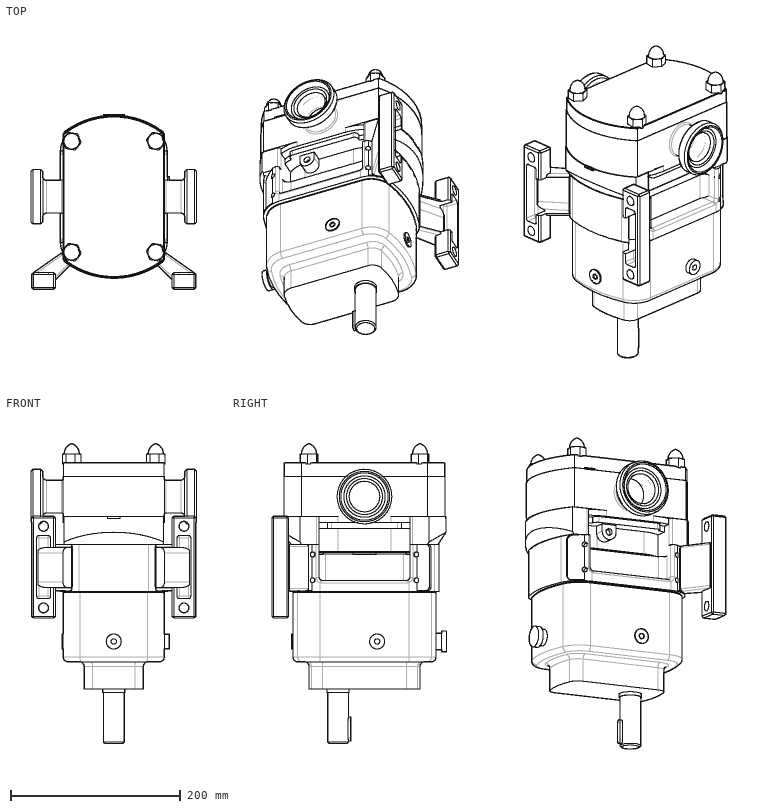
import cadquery as cq
import math


NECK_BOTTOM = 64.0
GEAR_BOTTOM = 96.5
FRAME_BOTTOM = 178.5
WINDOW_BOTTOM = 193.0
BLOCK_TOP = 223.7
SEAL_BOTTOM = 225.5
SHOULDER = 235.5
PLATE_BOTTOM = 254.0
PILOT_BOTTOM = 261.0
CASING_BOTTOM = 268.0
COVER_BOTTOM = 315.5
COVER_TOP = 332.0
TOP = 354.5

HEAD_RADIUS = 95.5
HEAD_HALF_WIDTH = 119.5 / 2
UPPER_FRAME_RADIUS = 96.5
UPPER_FRAME_HALF_WIDTH = 59.0
SHAFT_OFFSET = 31.2
COVER_EDGE = 0.7
COVER_INSET = 0.5

FRAME_SLOT = (14.2, 2.5)
COVER_SLOT = (13.5, 1.8)
COVER_SLOT_Y = 53.5
SLOT_DEPTH = 2.0

GEAR_HALF_X = HEAD_HALF_WIDTH
GEAR_HALF_Y = 84.7
GEAR_BOW = 141.8
GEAR_CORNER = 27.5
GEAR_EDGE = 5.5
FRAME_LIP = 3.5
NECK_HALF_X = 35.0
NECK_HALF_Y = 65.5
NECK_BOW = 106.5
NECK_CORNER = 13.0
NECK_FLARE = 5.3
JOINT_GROOVE = 1.0

TAPER_START_Y = 87.2
TAPER_ANGLE = 33.0

WINDOW_HALF_Y = 53.5
WINDOW_CORNER = 3.5
WINDOW_EDGE = 3.2
PLATE_HALF_X = 55.0
PLATE_HALF_Y = 44.0
PLATE_CORNER = 5.0
PLATE_BACK_RADIUS = 49.5
SEAL_RADIUS = 35.5
SEAL_EDGE = 1.5
BLOCK_HALF_X = 43.3
BLOCK_CORNER = 7.5
LUG_RADIUS = 9.2
LUG_HOLE_RADIUS = 4.0
LUG_HOLE_DEPTH = 5.3
LUG_Y = 22.7
LUG_Z = 245.0
LUG_HEIGHT = 14.2

PAD_DISTANCE = 87.5
PAD_BOTTOM = 180.8
PAD_WIDTH = 42.5
PAD_CORNER = 6.5
PAD_HOLE_RADIUS = 3.0
PAD_HOLE_DEPTH = 7.0
PAD_HOLE_LEVELS = (193.0, 223.5)

FOOT_OUTER_X = 97.0
FOOT_WIDTH = 28.5
FOOT_FRONT_Y = -109.5
FOOT_DEPTH = 20.0
FOOT_BOTTOM = 148.2
FOOT_TOP = 268.7
FOOT_EDGE = 2.0
FOOT_HOLE_RADIUS = 5.5
FOOT_HOLE_INSET = 12.0
FOOT_POCKET_WIDTH = 16.3
FOOT_POCKET_HEIGHT = 74.5
FOOT_POCKET_DEPTH = 16.3
FOOT_POCKET_CORNER = 3.0
ARM_BOTTOM = 180.5
ARM_TOP = 235.5
ARM_WALL = 4.0
ARM_TIP_Y = -98.5
ARM_INNER_BEND_X = 69.0
ARM_INNER_ROOT = (49.5, -79.0)
ARM_BURIED_ROOT = (46.0, -71.0)
ARM_OUTER_ROOT = (61.7, -66.3)
ARM_OUTER_TIP = (93.5, -88.5)
WEB_TIP = (89.5, -92.2)
WEB_ROOT = (60.0, -69.0)
FLANGE_END_X = 44.5
CHANNEL_CORNER = 6.5
ARM_EDGE = 2.5

PORT_Z = 291.8
PORT_REACH = 196.0 / 2
PORT_TUBE_RADIUS = 19.5
PORT_BORE_RADIUS = 18.0
PORT_MOUTH_RADIUS = 21.3
PORT_MOUTH_DEPTH = 9.2
PORT_FACE_RADIUS = 28.0
PORT_FACE_INNER_RADIUS = 24.5
PORT_FACE_DEPTH = 6.5
PORT_FLANGE_RADIUS = 32.3
PORT_FLANGE_THICKNESS = 14.2
PORT_FLANGE_EDGE = 2.5
PORT_BACK_FILLET = 4.5
PORT_ROOT_FILLET = 1.8

NUT_X = 49.5
NUT_Y = 65.5
NUT_CORNER_DIAMETER = 22.5
NUT_ANGLE = -9.0
NUT_HEIGHT = 10.0
DOME_RADIUS = 9.2
DOME_SHOULDER = (6.7, 7.8)

PLUG_Z = 120.5
PLUG_RADIUS = 9.0
PLUG_HEIGHT = 1.5
PLUG_SOCKET_RADIUS = 3.2
SIDE_PLUG_Y = -15.0
TALL_PLUG_HEIGHT = 6.0
SIGHT_STEM_RADIUS = 10.0
SIGHT_RIM_RADIUS = 12.5
SIGHT_REACH = 97.0
SIGHT_RIM_THICKNESS = 6.0

SHAFT_RADIUS = 12.5
SHAFT_EDGE = 1.8
COLLAR_RADIUS = 13.0
COLLAR_BOTTOM = 60.3
JOURNAL_RADIUS = 17.7
JOURNAL_BOTTOM = 198.5
JOURNAL_TOP = 248.2
KEY_BOTTOM = 3.0
KEY_LENGTH = 28.7
KEY_WIDTH = 7.0
KEY_REACH = 15.2

SELECT_MARGIN = 0.5
OVERLAP = 1.8


def cylinder(radius, bottom, top, y=0.0):
    return cq.Workplane("XY", origin=(0, y, bottom)).circle(radius).extrude(top - bottom)


def block(half_x, half_y, bottom, top):
    sketch = cq.Workplane("XY", origin=(0, 0, bottom)).rect(2 * half_x, 2 * half_y)
    return sketch.extrude(top - bottom)


def flat_sided_disc(radius, half_width, bottom, top):
    """Round disc with two flats parallel to the YZ plane."""
    return cylinder(radius, bottom, top).intersect(block(half_width, radius, bottom, top))


def bowed_block(half_x, half_y, bow, corner, bottom, top):
    """Block with flat X sides, bowed Y ends and rounded vertical corners."""
    corner_y = half_y - bow + math.sqrt(bow**2 - half_x**2)
    outline = (
        cq.Workplane("XY", origin=(0, 0, bottom))
        .moveTo(-half_x, -corner_y)
        .threePointArc((0, -half_y), (half_x, -corner_y))
        .lineTo(half_x, corner_y)
        .threePointArc((0, half_y), (-half_x, corner_y))
        .close()
    )
    return outline.extrude(top - bottom).edges("|Z").fillet(corner)


def stadium(radius, bottom, top):
    """Slot shape that surrounds both shafts."""
    sketch = cq.Workplane("XY", origin=(0, 0, bottom))
    return sketch.slot2D(2 * (SHAFT_OFFSET + radius), 2 * radius, 90).extrude(top - bottom)


def both_sides(shape):
    """The shape together with its mirror image on the other X side."""
    return shape.union(shape.mirror("YZ"))


def make_head():
    casing = flat_sided_disc(HEAD_RADIUS, HEAD_HALF_WIDTH, CASING_BOTTOM, COVER_BOTTOM)
    cover = flat_sided_disc(
        HEAD_RADIUS - COVER_INSET, HEAD_HALF_WIDTH - COVER_INSET, COVER_BOTTOM, COVER_TOP
    )
    cover = cover.faces(">Z").edges().chamfer(COVER_EDGE)
    width, height = COVER_SLOT
    slot = cq.Workplane("XY").box(2 * SLOT_DEPTH, width, height, centered=(True, True, False))
    slot = slot.translate((-HEAD_HALF_WIDTH, COVER_SLOT_Y, COVER_BOTTOM))
    return casing.union(cover.cut(slot))


def make_nut(x, y):
    hexagon = cq.Workplane("XY").polygon(6, NUT_CORNER_DIAMETER).extrude(NUT_HEIGHT + OVERLAP)
    hexagon = hexagon.rotate((0, 0, 0), (0, 0, 1), NUT_ANGLE).translate((0, 0, -OVERLAP))
    dome_height = TOP - COVER_TOP - NUT_HEIGHT
    shoulder_radius, shoulder_height = DOME_SHOULDER
    dome = (
        cq.Workplane("XZ", origin=(0, 0, NUT_HEIGHT))
        .lineTo(DOME_RADIUS, 0)
        .spline([(shoulder_radius, shoulder_height), (0, dome_height)], includeCurrent=True)
        .close()
        .revolve(360, (0, 0, 0), (0, 1, 0))
    )
    return hexagon.union(dome).translate((x, y, COVER_TOP))


def make_port():
    """Port on the -X side: tube and flange, bored down to the casing wall."""
    flange_back = PORT_REACH - PORT_FLANGE_THICKNESS
    fillet_radius = PORT_TUBE_RADIUS + PORT_BACK_FILLET
    fillet_middle = PORT_BACK_FILLET * (1 - math.sqrt(0.5))
    root_radius = PORT_TUBE_RADIUS + PORT_ROOT_FILLET
    root_middle = PORT_ROOT_FILLET * (1 - math.sqrt(0.5))
    profile = (
        cq.Workplane("XY")
        .moveTo(-HEAD_HALF_WIDTH + OVERLAP, 0)
        .lineTo(-HEAD_HALF_WIDTH + OVERLAP, root_radius)
        .lineTo(-HEAD_HALF_WIDTH, root_radius)
        .threePointArc(
            (-HEAD_HALF_WIDTH - root_middle, PORT_TUBE_RADIUS + root_middle),
            (-HEAD_HALF_WIDTH - PORT_ROOT_FILLET, PORT_TUBE_RADIUS),
        )
        .lineTo(-flange_back + PORT_BACK_FILLET, PORT_TUBE_RADIUS)
        .threePointArc(
            (-flange_back + fillet_middle, PORT_TUBE_RADIUS + fillet_middle),
            (-flange_back, fillet_radius),
        )
        .lineTo(-flange_back, PORT_FLANGE_RADIUS)
        .lineTo(-PORT_REACH, PORT_FLANGE_RADIUS)
        .lineTo(-PORT_REACH, PORT_FACE_RADIUS)
        .lineTo(-PORT_REACH + PORT_FACE_DEPTH, PORT_FACE_INNER_RADIUS)
        .lineTo(-PORT_REACH + PORT_FACE_DEPTH, PORT_MOUTH_RADIUS)
        .lineTo(-PORT_REACH + PORT_MOUTH_DEPTH, PORT_BORE_RADIUS)
        .lineTo(-HEAD_HALF_WIDTH, PORT_BORE_RADIUS)
        .lineTo(-HEAD_HALF_WIDTH, 0)
        .close()
    )
    port = profile.revolve(360, (0, 0, 0), (1, 0, 0))
    rim = cq.selectors.RadiusNthSelector(-1)
    return port.edges(rim).chamfer(PORT_FLANGE_EDGE).translate((0, 0, PORT_Z))


def make_taper_cone():
    """Cone, widening upward, whose -Y flank bounds the -Y end of the upper frame."""
    base = cq.Workplane("XY", origin=(0, GEAR_BOW - TAPER_START_Y, SHOULDER)).circle(GEAR_BOW)
    return base.extrude(CASING_BOTTOM - SHOULDER, taper=-TAPER_ANGLE)


def make_pad_cutter():
    """Cutter for the 45 degree pad on the +X +Y corner, with its two screw holes."""
    height = SHOULDER - PAD_BOTTOM
    cutter = cq.Workplane("XY").box(PAD_WIDTH / 2, PAD_WIDTH, height, centered=(False, True, False))
    cutter = cutter.edges("|X").fillet(PAD_CORNER)
    cutter = cutter.translate((PAD_DISTANCE, 0, PAD_BOTTOM))
    for level in PAD_HOLE_LEVELS:
        hole = cq.Workplane("YZ", origin=(PAD_DISTANCE - PAD_HOLE_DEPTH, 0, level))
        cutter = cutter.union(hole.circle(PAD_HOLE_RADIUS).extrude(2 * PAD_HOLE_DEPTH))
    return cutter.rotate((0, 0, 0), (0, 0, 1), 45)


def round_window_edge(frame_part, side_x):
    """Round the rim of the window where it opens in the faces X = +-side_x."""
    for x in (-side_x, side_x):
        rim = cq.selectors.BoxSelector(
            (x - SELECT_MARGIN, -WINDOW_HALF_Y - SELECT_MARGIN, WINDOW_BOTTOM - SELECT_MARGIN),
            (x + SELECT_MARGIN, WINDOW_HALF_Y + SELECT_MARGIN, CASING_BOTTOM + SELECT_MARGIN),
        )
        frame_part = frame_part.edges(rim).fillet(WINDOW_EDGE)
    return frame_part


def make_corner_web(x, y):
    """Concave web between the bearing block and the window side at one corner."""
    size = BLOCK_CORNER
    height = BLOCK_TOP - WINDOW_BOTTOM
    x_step = math.copysign(size, x)
    y_step = math.copysign(size, y)
    middle = 1 - math.sqrt(0.5)
    web = (
        cq.Workplane("XY", origin=(x, y, WINDOW_BOTTOM))
        .lineTo(x_step, 0)
        .threePointArc((x_step * middle, -y_step * middle), (0, -y_step))
        .close()
    )
    return web.extrude(height)


def make_frame():
    upper = flat_sided_disc(UPPER_FRAME_RADIUS, UPPER_FRAME_HALF_WIDTH, SHOULDER, CASING_BOTTOM)
    cone = make_taper_cone()
    upper = upper.intersect(cone).intersect(cone.mirror("XZ"))
    width, height = FRAME_SLOT
    slot = cq.Workplane("XY").box(width, 2 * SLOT_DEPTH, height)
    upper = upper.cut(slot.translate((0, -UPPER_FRAME_RADIUS, CASING_BOTTOM - height / 2)))

    lower = bowed_block(
        GEAR_HALF_X + FRAME_LIP,
        GEAR_HALF_Y + FRAME_LIP,
        GEAR_BOW + FRAME_LIP,
        GEAR_CORNER + FRAME_LIP,
        FRAME_BOTTOM + JOINT_GROOVE,
        SHOULDER,
    )
    pad = both_sides(make_pad_cutter())
    lower = lower.cut(pad).cut(pad.mirror("XZ"))

    window = block(HEAD_RADIUS, WINDOW_HALF_Y, WINDOW_BOTTOM, CASING_BOTTOM)
    window = window.edges("|X and <Z").fillet(WINDOW_CORNER)
    upper = round_window_edge(upper.cut(window), UPPER_FRAME_HALF_WIDTH)
    lower = round_window_edge(lower.cut(window), GEAR_HALF_X + FRAME_LIP)

    bearing_block = block(BLOCK_HALF_X, WINDOW_HALF_Y, WINDOW_BOTTOM, BLOCK_TOP)
    lower = lower.union(bearing_block)
    for x in (-BLOCK_HALF_X, BLOCK_HALF_X):
        for y in (-WINDOW_HALF_Y, WINDOW_HALF_Y):
            lower = lower.union(make_corner_web(x, y))
    return upper.union(lower)


def make_window_parts():
    pilot = stadium(HEAD_HALF_WIDTH, PILOT_BOTTOM, CASING_BOTTOM)
    plate = block(PLATE_HALF_X, PLATE_HALF_Y, PLATE_BOTTOM, PILOT_BOTTOM)
    plate = plate.edges("|Z").fillet(PLATE_CORNER)
    plate = plate.union(stadium(PLATE_BACK_RADIUS, PLATE_BOTTOM, PILOT_BOTTOM))
    seal = stadium(SEAL_RADIUS, SEAL_BOTTOM, PLATE_BOTTOM)
    seal = seal.faces("<Z").edges().chamfer(SEAL_EDGE)

    lug_face = cq.Workplane("YZ", origin=(-SEAL_RADIUS - LUG_HEIGHT, LUG_Y, LUG_Z))
    lug = lug_face.circle(LUG_RADIUS).extrude(LUG_HEIGHT + OVERLAP)
    web_height = PLATE_BOTTOM - LUG_Z
    web = lug_face.center(0, web_height / 2).rect(2 * LUG_RADIUS, web_height)
    lug = lug.union(web.extrude(LUG_HEIGHT + OVERLAP))
    lug = lug.cut(lug_face.circle(LUG_HOLE_RADIUS).extrude(LUG_HOLE_DEPTH))
    return pilot.union(plate).union(seal).union(lug)


def make_gear_cover():
    cover = bowed_block(GEAR_HALF_X, GEAR_HALF_Y, GEAR_BOW, GEAR_CORNER, GEAR_BOTTOM, FRAME_BOTTOM)
    cover = cover.faces("<Z").edges().fillet(GEAR_EDGE)
    joint = bowed_block(
        GEAR_HALF_X - JOINT_GROOVE,
        GEAR_HALF_Y - JOINT_GROOVE,
        GEAR_BOW - JOINT_GROOVE,
        GEAR_CORNER - JOINT_GROOVE,
        FRAME_BOTTOM - OVERLAP,
        FRAME_BOTTOM + JOINT_GROOVE,
    )
    neck = bowed_block(NECK_HALF_X, NECK_HALF_Y, NECK_BOW, NECK_CORNER, NECK_BOTTOM, GEAR_BOTTOM)
    body = cover.union(neck)
    flare_zone = cq.selectors.BoxSelector(
        (-NECK_HALF_X - OVERLAP, -NECK_HALF_Y - OVERLAP, GEAR_BOTTOM - OVERLAP),
        (NECK_HALF_X + OVERLAP, NECK_HALF_Y + OVERLAP, GEAR_BOTTOM + OVERLAP),
        boundingbox=True,
    )
    return body.edges(flare_zone).fillet(NECK_FLARE).union(joint)


def make_plug(height):
    """Plug with a round socket, standing on the XY plane and pointing up."""
    plug = cq.Workplane("XY", origin=(0, 0, -OVERLAP)).circle(PLUG_RADIUS).extrude(height + OVERLAP)
    return plug.faces(">Z").workplane().circle(PLUG_SOCKET_RADIUS).cutBlind(-height)


def make_fittings():
    """Drain plugs on three sides of the gear cover and the sight glass on the fourth."""
    x_axis = (1, 0, 0)
    y_axis = (0, 1, 0)
    front = make_plug(PLUG_HEIGHT).rotate((0, 0, 0), x_axis, 90)
    front = front.translate((0, -GEAR_HALF_Y, PLUG_Z))
    left = make_plug(PLUG_HEIGHT).rotate((0, 0, 0), y_axis, -90)
    left = left.translate((-GEAR_HALF_X, SIDE_PLUG_Y, PLUG_Z))
    right = make_plug(TALL_PLUG_HEIGHT).rotate((0, 0, 0), y_axis, 90)
    right = right.translate((GEAR_HALF_X, -SIDE_PLUG_Y, PLUG_Z))

    stem_start = GEAR_HALF_Y - OVERLAP
    stem = cq.Workplane("XZ", origin=(0, stem_start, PLUG_Z)).circle(SIGHT_STEM_RADIUS)
    stem = stem.extrude(stem_start - SIGHT_REACH)
    rim = cq.Workplane("XZ", origin=(0, SIGHT_REACH, PLUG_Z)).circle(SIGHT_RIM_RADIUS)
    rim = rim.extrude(SIGHT_RIM_THICKNESS)
    return front.union(left).union(right).union(stem).union(rim)


def make_foot():
    """Foot on the +X side: slotted mounting bar joined to its pad by a slanted arm."""
    centre_x = FOOT_OUTER_X - FOOT_WIDTH / 2
    centre_z = (FOOT_BOTTOM + FOOT_TOP) / 2
    height = FOOT_TOP - FOOT_BOTTOM
    face = cq.Workplane("XZ", origin=(centre_x, FOOT_FRONT_Y, centre_z))
    bar = face.rect(FOOT_WIDTH, height).extrude(-FOOT_DEPTH).edges().chamfer(FOOT_EDGE)

    pocket = face.rect(FOOT_POCKET_WIDTH, FOOT_POCKET_HEIGHT).extrude(-FOOT_POCKET_DEPTH)
    pocket = pocket.edges("|Y").fillet(FOOT_POCKET_CORNER)
    pocket = pocket.faces(">Y").edges().fillet(FOOT_POCKET_CORNER)
    bar = bar.cut(pocket)
    hole_offset = height / 2 - FOOT_HOLE_INSET
    holes = face.pushPoints([(0, -hole_offset), (0, hole_offset)]).circle(FOOT_HOLE_RADIUS)
    bar = bar.cut(holes.extrude(-FOOT_DEPTH))

    arm = (
        cq.Workplane("XY", origin=(0, 0, ARM_BOTTOM))
        .moveTo(*ARM_OUTER_TIP)
        .lineTo(*ARM_OUTER_ROOT)
        .lineTo(*ARM_BURIED_ROOT)
        .lineTo(*ARM_INNER_ROOT)
        .lineTo(ARM_INNER_BEND_X, ARM_TIP_Y)
        .lineTo(ARM_OUTER_TIP[0], ARM_TIP_Y)
        .close()
        .extrude(ARM_TOP - ARM_BOTTOM)
    )
    arm = arm.faces("<Z or >Z").edges().fillet(ARM_EDGE)
    arm = arm.cut(pocket)

    flange_end_y = WEB_ROOT[1] - (WEB_ROOT[0] - FLANGE_END_X)
    web_middle_x = (WEB_TIP[0] + WEB_ROOT[0]) / 2
    web_middle_y = (WEB_TIP[1] + WEB_ROOT[1]) / 2
    web_corners = cq.selectors.BoxSelector(
        (web_middle_x - SELECT_MARGIN, web_middle_y - SELECT_MARGIN, ARM_BOTTOM),
        (web_middle_x + SELECT_MARGIN, web_middle_y + SELECT_MARGIN, ARM_TOP),
    )
    channel = (
        cq.Workplane("XY", origin=(0, 0, ARM_BOTTOM + ARM_WALL))
        .moveTo(*WEB_TIP)
        .lineTo(*WEB_ROOT)
        .lineTo(FLANGE_END_X, flange_end_y)
        .lineTo(FLANGE_END_X, FOOT_FRONT_Y)
        .lineTo(WEB_TIP[0], FOOT_FRONT_Y)
        .close()
        .extrude(ARM_TOP - ARM_BOTTOM - 2 * ARM_WALL)
        .edges(web_corners)
        .fillet(CHANNEL_CORNER)
    )
    return bar.union(arm).cut(channel)


def make_housing():
    housing = make_frame().union(make_window_parts()).union(make_head()).union(make_gear_cover())
    housing = housing.union(both_sides(make_port()))
    housing = housing.union(both_sides(make_foot()))
    housing = housing.union(make_fittings())
    for x in (-NUT_X, NUT_X):
        for y in (-NUT_Y, NUT_Y):
            housing = housing.union(make_nut(x, y))
    for y in (-SHAFT_OFFSET, SHAFT_OFFSET):
        housing = housing.cut(cylinder(JOURNAL_RADIUS, JOURNAL_BOTTOM, JOURNAL_TOP, y))
    return housing.cut(cylinder(COLLAR_RADIUS, NECK_BOTTOM, JOURNAL_BOTTOM, -SHAFT_OFFSET))


def make_driven_shaft():
    return cylinder(JOURNAL_RADIUS, JOURNAL_BOTTOM, JOURNAL_TOP, SHAFT_OFFSET)


def make_drive_shaft():
    end = cylinder(SHAFT_RADIUS, 0, COLLAR_BOTTOM).faces("<Z").chamfer(SHAFT_EDGE)
    collar = cylinder(COLLAR_RADIUS, COLLAR_BOTTOM, JOURNAL_BOTTOM)
    journal = cylinder(JOURNAL_RADIUS, JOURNAL_BOTTOM, JOURNAL_TOP)
    key = cq.Workplane("XZ", origin=(0, KEY_REACH, KEY_BOTTOM + KEY_LENGTH / 2))
    key = key.slot2D(KEY_LENGTH, KEY_WIDTH, 90).extrude(KEY_REACH)
    shaft = end.union(collar).union(journal).union(key)
    return shaft.translate((0, -SHAFT_OFFSET, 0))


housing = make_housing()
drive_shaft = make_drive_shaft()
driven_shaft = make_driven_shaft()

result = cq.Compound.makeCompound([housing.val(), drive_shaft.val(), driven_shaft.val()])